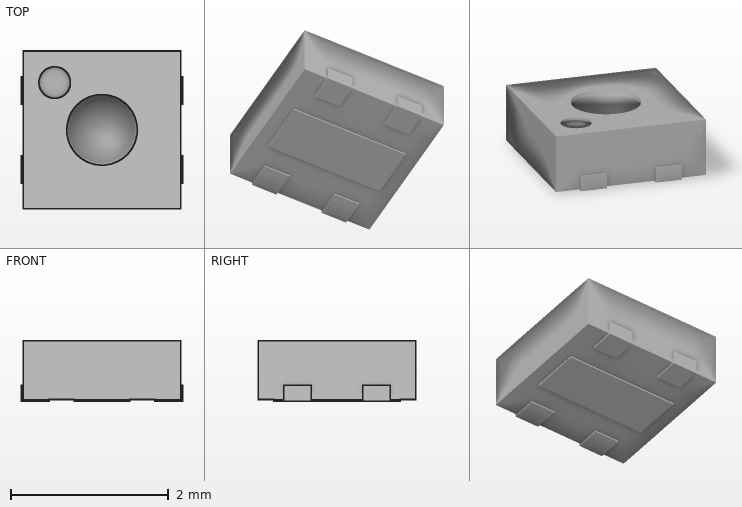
import cadquery as cq

overall_width = 2.04
overall_height = 0.77

metal_thickness = 0.02

housing_side = overall_width - 2 * metal_thickness
housing_height = overall_height - metal_thickness

bowl_diameter = 0.9
bowl_centre_rise = 0.05

mark_diameter = 0.4
mark_depth = 0.05
mark_offset = 0.6

lead_width = 0.35
lead_foot_length = 0.35
lead_height = 0.2
lead_pitch = 1.0

pad_width = 0.7
pad_length = 1.6


def make_housing():
    block = cq.Workplane("XY", origin=(0, 0, metal_thickness)).box(
        housing_side, housing_side, housing_height, centered=(True, True, False)
    )
    bowl_centre_z = overall_height + bowl_centre_rise
    bowl = cq.Workplane("XY", origin=(0, 0, bowl_centre_z)).sphere(bowl_diameter / 2)
    mark = (
        cq.Workplane("XY", origin=(-mark_offset, mark_offset, overall_height))
        .circle(mark_diameter / 2)
        .extrude(-mark_depth)
    )
    return block.cut(bowl).cut(mark)


def make_lead(side, y_centre):
    """One lead; side is -1 for the -X edge and +1 for the +X edge."""
    outer_x = side * overall_width / 2
    wall_x = side * housing_side / 2
    foot_end_x = outer_x - side * lead_foot_length
    return (
        cq.Workplane("XZ", origin=(0, y_centre, 0))
        .moveTo(outer_x, 0)
        .lineTo(outer_x, lead_height)
        .lineTo(wall_x, lead_height)
        .lineTo(wall_x, metal_thickness)
        .lineTo(foot_end_x, metal_thickness)
        .lineTo(foot_end_x, 0)
        .close()
        .extrude(lead_width / 2, both=True)
    )


def make_pad():
    return cq.Workplane("XY").box(
        pad_width, pad_length, metal_thickness, centered=(True, True, False)
    )


housing = make_housing()
pad = make_pad()
leads = [
    make_lead(side, y_centre)
    for side in (-1, 1)
    for y_centre in (-lead_pitch / 2, lead_pitch / 2)
]

result = cq.Compound.makeCompound([housing.val(), pad.val(), *[lead.val() for lead in leads]])